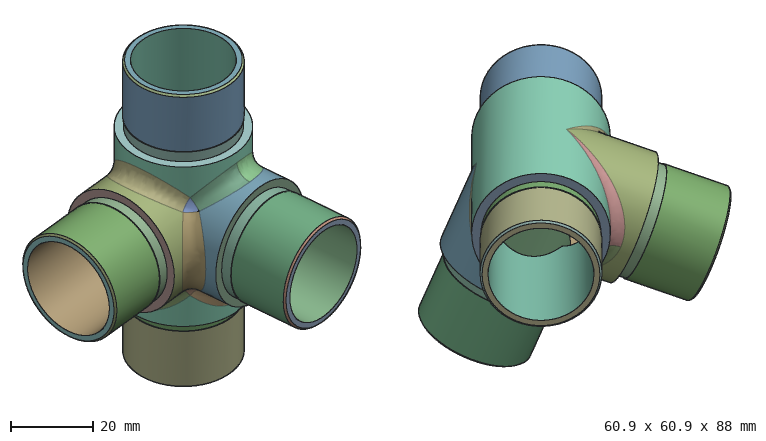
import cadquery as cq

body_diameter = 33.7
bore_diameter = 25.7
spigot_diameter = 29.6
groove_diameter = 29.2
body_reach = 24.0
groove_width = 3.0
branch_reach = 44.0
end_chamfer = 0.5
blend_radius = 4.0

UP = (0, 0, 1)
DOWN = (0, 0, -1)
ALONG_X = (1, 0, 0)
TOWARD_FRONT = (0, -1, 0)
RUN_DIRECTIONS = (UP, DOWN)
SIDE_DIRECTIONS = (ALONG_X, TOWARD_FRONT)


def rod(direction, diameter, length, start=0.0):
    """Solid cylinder along an axis through the centre, beginning `start` from the centre."""
    origin = cq.Vector(*direction) * start
    plane = cq.Plane(origin=origin.toTuple(), normal=direction)
    return cq.Workplane(plane).circle(diameter / 2).extrude(length)


def make_tubes(diameter, run_reach, side_reach):
    """Vertical run joined to the two side branches, all of one diameter."""
    tubes = rod(UP, diameter, 2 * run_reach, -run_reach)
    for direction in SIDE_DIRECTIONS:
        tubes = tubes.union(rod(direction, diameter, side_reach))
    return tubes


def make_body():
    """Outer tubes with every inside corner between them rounded."""
    tubes = make_tubes(body_diameter, body_reach, body_reach)
    return tubes.edges("%ELLIPSE").fillet(blend_radius)


def make_spigot(direction):
    """Narrow groove followed by a plug-in end with a chamfered rim."""
    spigot_start = body_reach + groove_width
    groove_core = rod(direction, groove_diameter, spigot_start)
    spigot = rod(direction, spigot_diameter, branch_reach - spigot_start, spigot_start)
    outer_end = cq.selectors.DirectionMinMaxSelector(cq.Vector(*direction))
    spigot = spigot.faces(outer_end).chamfer(end_chamfer)
    return groove_core.union(spigot)


result = make_body()
for direction in RUN_DIRECTIONS + SIDE_DIRECTIONS:
    result = result.union(make_spigot(direction))
result = result.cut(make_tubes(bore_diameter, branch_reach, branch_reach))